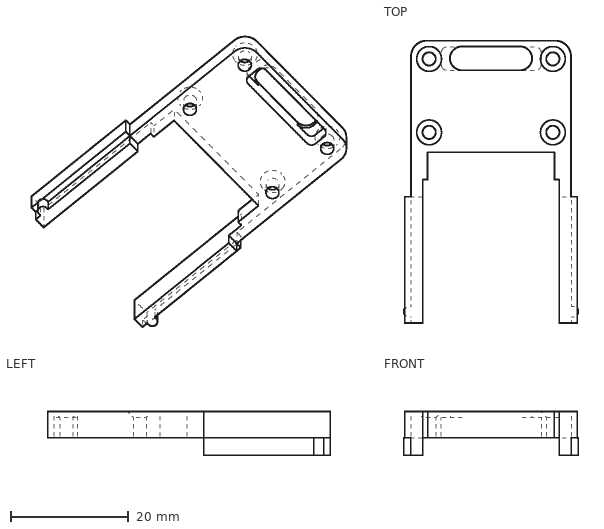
import cadquery as cq

total_width = 29.65
total_length = 48.0
total_height = 7.5

plate_thickness = 4.5
plate_width = 27.2
corner_radius = 2.7
rail_width = 29.35
rail_length = 21.5

opening_width = 23.15
opening_length = 24.4
inner_notch_width = 21.5
inner_notch_end = 29.0

lower_height = total_height - plate_thickness
lower_rail_width = plate_width
rib_radius = 0.85
rib_center_y = 1.95

hole_diameter = 2.2
countersink_diameter = 4.2
countersink_angle = 90
hole_spacing_x = 21.0
hole_spacing_y = 12.5
rear_hole_inset = 3.1

window_length = 13.9
window_width = 4.0
window_inset = 3.0
window_lip = 1.0
recess_length = 17.0
recess_corner_radius = 1.0


def centered_block(width, y_start, y_end, z_start, height):
    """Block symmetric about X = 0, spanning y_start to y_end."""
    return (
        cq.Workplane("XY", origin=(0, y_start, z_start))
        .box(width, y_end - y_start, height, centered=(True, False, False))
    )


def opening_cutter():
    """Stepped gap between the arms, through the full height."""
    wide = centered_block(opening_width, 0, opening_length, 0, total_height)
    narrow = centered_block(inner_notch_width, 0, inner_notch_end, 0, total_height)
    return wide.union(narrow)


def detent_rib(side):
    """Round-nosed rib projecting from the outer face of one lower rail."""
    nose_center = total_width / 2 - rib_radius
    root = opening_width / 2
    nose = (
        cq.Workplane("XY")
        .center(side * nose_center, rib_center_y)
        .circle(rib_radius)
        .extrude(lower_height)
    )
    stem = (
        cq.Workplane("XY")
        .center(side * (nose_center + root) / 2, rib_center_y)
        .rect(nose_center - root, 2 * rib_radius)
        .extrude(lower_height)
    )
    return nose.union(stem)


plate = (
    centered_block(plate_width, 0, total_length, lower_height, plate_thickness)
    .edges("|Z and >Y")
    .fillet(corner_radius)
)
rails = centered_block(rail_width, 0, rail_length, lower_height, plate_thickness)
lower_rails = centered_block(lower_rail_width, 0, rail_length, 0, lower_height)
body = plate.union(rails).union(lower_rails).cut(opening_cutter())

for side in (-1, 1):
    body = body.union(detent_rib(side))

rear_hole_y = total_length - rear_hole_inset
body = (
    body.faces(">Z")
    .workplane(origin=(0, rear_hole_y - hole_spacing_y / 2, total_height))
    .rarray(hole_spacing_x, hole_spacing_y, 2, 2)
    .cskHole(hole_diameter, countersink_diameter, countersink_angle)
)

window_plane = cq.Workplane("XY", origin=(0, total_length - window_inset, lower_height))
window = window_plane.slot2D(window_length, window_width).extrude(plate_thickness)
recess = (
    window_plane.rect(recess_length, window_width)
    .extrude(plate_thickness - window_lip)
    .edges("|Z")
    .fillet(recess_corner_radius)
)
result = body.cut(window).cut(recess)